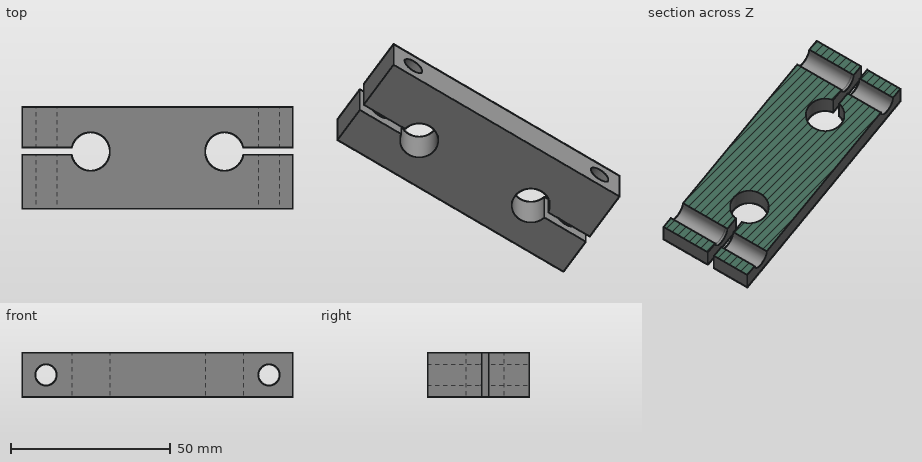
import cadquery as cq

length = 85.0
width = 32.0
height = 14.0

bore_diameter = 12.0
bore_spacing = 42.0
bore_from_front = 18.0

slot_width = 2.2
front_jaw_depth = 17.0

screw_hole_diameter = 6.6
screw_hole_spacing = 70.0

bore_y = bore_from_front - width / 2
slot_y = front_jaw_depth + slot_width / 2 - width / 2
slot_length = (length - bore_spacing) / 2


def vertical_bore(side):
    """Through bore for the clamped rod on one side (-1 or +1) of the centre."""
    return (
        cq.Workplane("XY")
        .center(side * bore_spacing / 2, bore_y)
        .circle(bore_diameter / 2)
        .extrude(height)
    )


def clamp_slot(side):
    """Full-height slot from the bore out to the end face."""
    slot_centre_x = side * (bore_spacing + slot_length) / 2
    return (
        cq.Workplane("XY")
        .center(slot_centre_x, slot_y)
        .rect(slot_length, slot_width)
        .extrude(height)
    )


def screw_hole(side):
    """Through hole for the clamping screw, at mid height."""
    return (
        cq.Workplane("XZ", origin=(side * screw_hole_spacing / 2, 0, height / 2))
        .circle(screw_hole_diameter / 2)
        .extrude(width / 2, both=True)
    )


result = cq.Workplane("XY").box(length, width, height, centered=(True, True, False))
for end in (-1, 1):
    result = result.cut(vertical_bore(end))
    result = result.cut(clamp_slot(end))
    result = result.cut(screw_hole(end))